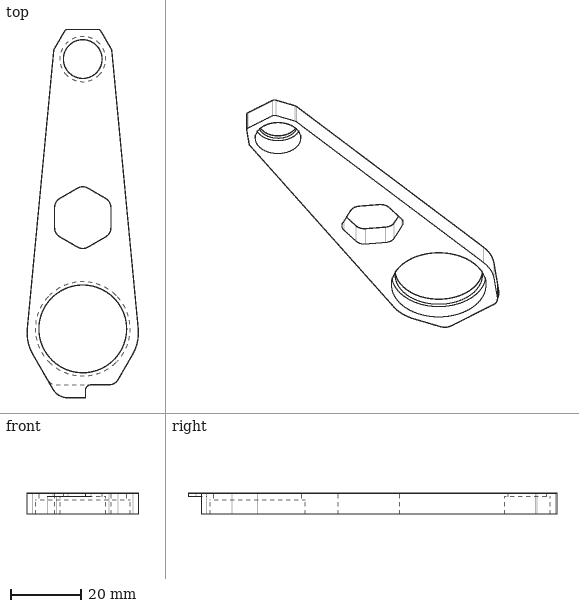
import cadquery as cq
import math

thickness = 6.0
length = 105.21
bore_spacing = 77.0
small_end_distance = 8.5
small_end = bore_spacing + small_end_distance
tab_tip = length - small_end
flat_distance = 16.0
slant_angle = math.radians(30)
small_end_half_flat = small_end_distance * math.tan(slant_angle)
small_shoulder_half_width = 8.3
large_shoulder_half_width = 15.925
shoulder_radius = 12.2
lower_corner_radius = 3.0
upper_corner_radius = 1.0

tab_thickness = 1.0
tab_edge_x = 0.8
tab_corner_radius = 5.0
tab_root_radius = 1.5

large_bore_diameter = 25.0
large_relief_diameter = 27.0
large_lip = 2.0
small_bore_diameter = 11.0
small_relief_diameter = 13.0
small_lip = 1.0

hex_y = 31.75
hex_across_flats = 16.0
hex_corner_radius = 3.0
hex_sides = 6


def slant_x(y):
    """Half width of the lower slanted sides, extended to height y."""
    return (flat_distance + y * math.sin(slant_angle)) / math.cos(slant_angle)


def side_corners():
    """Sharp corners at the lower and upper end of the tapered side, before rounding.

    The lower rounding arc touches the slant and reaches the widest half width.
    """
    small_y = small_end - (small_shoulder_half_width - small_end_half_flat) / math.tan(slant_angle)
    arc_x = large_shoulder_half_width - shoulder_radius
    arc_y = (shoulder_radius + arc_x * math.cos(slant_angle) - flat_distance) / math.sin(slant_angle)
    dx = arc_x - small_shoulder_half_width
    dy = small_y - arc_y
    taper = math.atan2(dx, dy) + math.asin(shoulder_radius / math.hypot(dx, dy))
    slope = math.tan(taper)
    side_x_at_zero = small_shoulder_half_width + slope * small_y
    corner_y = (side_x_at_zero - slant_x(0)) / (math.tan(slant_angle) + slope)
    return (slant_x(corner_y), corner_y), (small_shoulder_half_width, small_y)


def make_plate():
    large_shoulder, small_shoulder = side_corners()
    lower_x = slant_x(-flat_distance)
    right_side = [
        (lower_x, -flat_distance),
        large_shoulder,
        small_shoulder,
        (small_end_half_flat, small_end),
    ]
    left_side = [(-x, y) for x, y in reversed(right_side)]
    plate = cq.Workplane("XY").polyline(right_side + left_side).close().extrude(thickness)
    radii = [lower_corner_radius, shoulder_radius, upper_corner_radius, upper_corner_radius]
    for (x, y), radius in zip(right_side, radii):
        for side in (x, -x):
            edge = cq.selectors.NearestToPointSelector((side, y, thickness / 2))
            plate = plate.edges("|Z").edges(edge).fillet(radius)
    return plate


def make_tab():
    root_y = -flat_distance
    top_y = root_y + lower_corner_radius
    root_end_x = tab_edge_x + tab_root_radius
    outline = (
        cq.Workplane("XY", origin=(0, 0, thickness - tab_thickness))
        .moveTo(-slant_x(-tab_tip), -tab_tip)
        .lineTo(tab_edge_x, -tab_tip)
        .lineTo(tab_edge_x, root_y - tab_root_radius)
        .radiusArc((root_end_x, root_y), tab_root_radius)
        .lineTo(root_end_x, top_y)
        .lineTo(-slant_x(top_y), top_y)
        .close()
    )
    tab = outline.extrude(tab_thickness)
    corner = cq.selectors.NearestToPointSelector((-slant_x(-tab_tip), -tab_tip, thickness))
    return tab.edges("|Z").edges(corner).fillet(tab_corner_radius)


def make_stepped_bore(y, bore_diameter, relief_diameter, lip):
    bore = cq.Workplane("XY").center(0, y).circle(bore_diameter / 2).extrude(thickness)
    relief = cq.Workplane("XY").center(0, y).circle(relief_diameter / 2).extrude(thickness - lip)
    return bore.union(relief)


def make_hex_opening():
    across_corners = hex_across_flats / math.cos(math.pi / hex_sides)
    opening = cq.Workplane("XY").polygon(hex_sides, across_corners).extrude(thickness)
    half_sector = 180 / hex_sides
    opening = opening.edges("|Z").fillet(hex_corner_radius)
    return opening.rotate((0, 0, 0), (0, 0, 1), half_sector).translate((0, hex_y, 0))


result = (
    make_plate()
    .union(make_tab())
    .cut(make_stepped_bore(0, large_bore_diameter, large_relief_diameter, large_lip))
    .cut(make_stepped_bore(bore_spacing, small_bore_diameter, small_relief_diameter, small_lip))
    .cut(make_hex_opening())
)